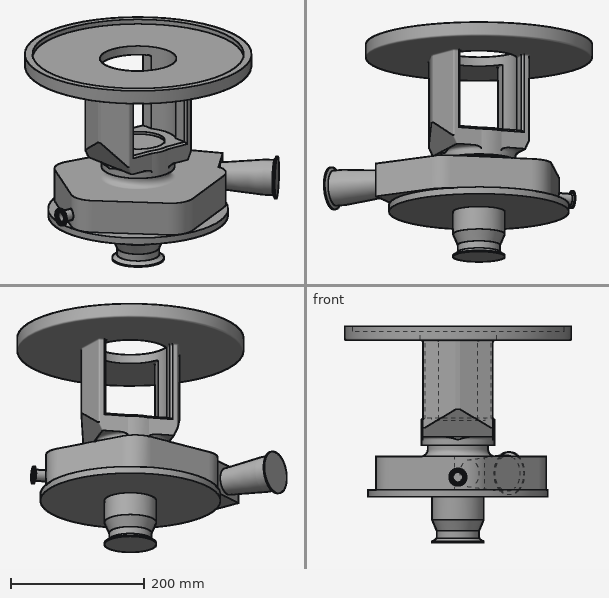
import cadquery as cq
import math

overall_height = 324.5
overall_depth = 398.5

plate_radius = 170.0
plate_thickness = 21.0
plate_rim_width = 11.5
plate_recess_depth = 7.0
plate_edge_radius = 2.8
plate_bottom = overall_height - plate_thickness

hub_radius = 55.0
lantern_half_width = 52.5
lantern_bottom = 159.5
leg_ridge_y = 75.0
leg_side_y = 60.5
leg_ridge_width = 6.8
leg_slope_top = 200.0
leg_slope_end_y = hub_radius
leg_edge_radius = 2.8
window_width = 98.8
window_floor = 187.5
opening_chamfer = 3.0
lantern_bore_radius = 57.5
hub_bottom = 146.0
hub_recess_radius = 40.2
hub_recess_depth = 4
hub_fillet_radius = 4.8
plate_joint_radius = 2.5

casing_bottom = 79.3
casing_top = 129.5
casing_apothem = 115.0
casing_corner_radius = 36
casing_side_count = 5
casing_side_step = 360 / casing_side_count
casing_first_normal = 27
casing_mid = (casing_bottom + casing_top) / 2
neck_radius = 45.5
neck_flare_radius = 10.8
flange_radius = 135.0
flange_bottom = 69.0

inlet_radius = 39.0
inlet_end_radius = 32.0
inlet_cone_top = 34.5
inlet_cone_bottom = 18.0

outlet_angle = 45
spout_tip_x = -5.5
spout_tip_y = 168.0
outlet_root_radius = 20.5
outlet_end_radius = 26.5
outlet_straight_length = 14.7
outlet_rim_radius = 32.0
outlet_overlap = 4

port_height = 98.5
port_end_y = -150.0
port_radius = 8.8
port_bore_radius = 7.5
port_rim_radius = 13.0
port_groove_inner_radius = 8.8
port_groove_outer_radius = 10.8
port_groove_depth = 1.0
port_root_y = -99.5

rim_lip = 2.0
rim_thickness = 4.8
rim_neck = 2.5
port_rim_thickness = 3.5


def revolve_profile(points):
    """Solid of revolution about Z from (radius, height) points."""
    return cq.Workplane("XZ").polyline(points).close().revolve(360, (0, 0, 0), (0, 1, 0))


def make_disc(radius, bottom, top):
    return cq.Workplane("XY").workplane(offset=bottom).circle(radius).extrude(top - bottom)


def make_flare(radius, fillet, wide_z, direction):
    """Round foot whose concave fillet narrows to the radius, upward (1) or downward (-1)."""
    narrow_z = wide_z + direction * fillet
    bend = fillet * (1 - math.sqrt(0.5))
    return (
        cq.Workplane("XZ")
        .moveTo(0, wide_z)
        .lineTo(radius + fillet, wide_z)
        .threePointArc((radius + bend, wide_z + direction * bend), (radius, narrow_z))
        .lineTo(0, narrow_z)
        .close()
        .revolve(360, (0, 0, 0), (0, 1, 0))
    )


def along(angle, distance):
    """Point at a distance from the origin in the direction of an angle in degrees."""
    return distance * math.cos(math.radians(angle)), distance * math.sin(math.radians(angle))


def make_plate():
    plate = make_disc(plate_radius, plate_bottom, overall_height)
    plate = plate.faces("<Z").edges().fillet(plate_edge_radius)
    recess_radius = plate_radius - plate_rim_width
    return plate.cut(make_disc(recess_radius, overall_height - plate_recess_depth, overall_height))


def make_legs():
    half_ridge = leg_ridge_width / 2
    outline = [
        (half_ridge, leg_ridge_y),
        (lantern_half_width, leg_side_y),
        (lantern_half_width, -leg_side_y),
        (half_ridge, -leg_ridge_y),
        (-half_ridge, -leg_ridge_y),
        (-lantern_half_width, -leg_side_y),
        (-lantern_half_width, leg_side_y),
        (-half_ridge, leg_ridge_y),
    ]
    legs = (
        cq.Workplane("XY")
        .workplane(offset=lantern_bottom)
        .polyline(outline)
        .close()
        .extrude(plate_bottom - lantern_bottom)
    )

    side_profile = [
        (leg_slope_end_y, lantern_bottom),
        (leg_ridge_y, leg_slope_top),
        (leg_ridge_y, plate_bottom),
        (-leg_ridge_y, plate_bottom),
        (-leg_ridge_y, leg_slope_top),
        (-leg_slope_end_y, lantern_bottom),
    ]
    envelope = cq.Workplane("YZ").polyline(side_profile).close().extrude(lantern_half_width, both=True)
    legs = legs.intersect(envelope)
    return legs.edges("(>X or <X) and (not #Z)").fillet(leg_edge_radius)


def make_hub():
    hub = make_disc(hub_radius, hub_bottom, window_floor)
    return hub.faces(">Z").edges().chamfer(opening_chamfer)


def make_hub_fillet():
    """Concave fillet between the hub and the underside of the legs."""
    ring = make_flare(hub_radius, hub_fillet_radius, lantern_bottom, -1)
    underside = cq.Workplane("XY").box(2 * lantern_half_width, 2 * leg_slope_end_y, 2 * lantern_bottom)
    return ring.intersect(underside)


def make_window():
    """Opening between the legs, running along X, with a bevel around both mouths."""
    height = plate_bottom - window_floor
    straight = cq.Workplane("XY").box(2 * hub_radius, window_width, 2 * height)
    window = straight.translate((0, 0, plate_bottom))
    for side in (1, -1):
        bevel = (
            cq.Workplane("YZ", origin=(side * (lantern_half_width - opening_chamfer), 0, plate_bottom))
            .rect(window_width, 2 * height)
            .workplane(offset=side * opening_chamfer)
            .rect(window_width + 2 * opening_chamfer, 2 * (height + opening_chamfer))
            .loft(ruled=True)
        )
        window = window.union(bevel)
    return window


def round_corner(casing, x, y):
    edge = cq.selectors.NearestToPointSelector((x, y, casing_mid))
    return casing.edges(edge).fillet(casing_corner_radius)


def spout_outline():
    """Tip and foot of the spout face, which lies square to the outlet axis.

    The foot is where the face meets the side of the pentagon next to the spout.
    """
    face_x, face_y = along(outlet_angle, 1)
    side_x, side_y = along(casing_first_normal + casing_side_step, 1)
    face_distance = spout_tip_x * face_x + spout_tip_y * face_y
    cross = face_x * side_y - face_y * side_x
    foot_x = (face_distance * side_y - casing_apothem * face_y) / cross
    foot_y = (casing_apothem * face_x - face_distance * side_x) / cross
    return (spout_tip_x, spout_tip_y), (foot_x, foot_y)


def make_casing(spout_tip, spout_foot):
    half_step = casing_side_step / 2
    corner_distance = casing_apothem / math.cos(math.radians(half_step))
    first_corner = casing_first_normal + half_step
    corners = [along(first_corner + casing_side_step * i, corner_distance) for i in range(casing_side_count)]
    spout_corner = corners[1]

    base = cq.Workplane("XY").workplane(offset=casing_bottom)
    casing_height = casing_top - casing_bottom
    casing = base.polyline(corners).close().extrude(casing_height)
    for corner in corners:
        if corner != spout_corner:
            casing = round_corner(casing, *corner)

    spout = base.polyline([(0, 0), spout_foot, spout_tip, spout_corner]).close().extrude(casing_height)
    return round_corner(casing.union(spout), *spout_corner)


def make_neck():
    flare = make_flare(neck_radius, neck_flare_radius, casing_top, 1)
    return flare.union(make_disc(neck_radius, casing_top, hub_bottom))


def make_flange_and_inlet():
    return revolve_profile([
        (0, 0),
        (inlet_radius, 0),
        (inlet_radius, rim_lip),
        (inlet_end_radius + rim_neck, rim_thickness),
        (inlet_end_radius, rim_thickness + rim_neck),
        (inlet_end_radius, inlet_cone_bottom),
        (inlet_radius, inlet_cone_top),
        (inlet_radius, flange_bottom),
        (flange_radius, flange_bottom),
        (flange_radius, casing_bottom),
        (0, casing_bottom),
    ])


def make_outlet(spout_tip, spout_foot):
    root_x = (spout_tip[0] + spout_foot[0]) / 2
    root_y = (spout_tip[1] + spout_foot[1]) / 2
    tilt = math.radians(outlet_angle)
    end_y = overall_depth - plate_radius
    outlet_length = (end_y - root_y - outlet_rim_radius * math.cos(tilt)) / math.sin(tilt)
    pipe = revolve_profile([
        (0, -outlet_overlap),
        (outlet_root_radius, -outlet_overlap),
        (outlet_root_radius, 0),
        (outlet_end_radius, outlet_length - outlet_straight_length - rim_thickness),
        (outlet_end_radius, outlet_length - rim_thickness),
        (outlet_rim_radius, outlet_length - rim_lip),
        (outlet_rim_radius, outlet_length),
        (0, outlet_length),
    ])
    pipe = pipe.rotate((0, 0, 0), (0, 1, 0), 90).rotate((0, 0, 0), (0, 0, 1), outlet_angle)
    return pipe.translate((root_x, root_y, casing_mid))


def make_port():
    """Hollow port with a grooved face; its bore stops at the casing wall."""
    length = -port_end_y
    port = revolve_profile([
        (port_bore_radius, -port_root_y),
        (port_radius, -port_root_y),
        (port_radius, length - port_rim_thickness),
        (port_rim_radius, length - rim_lip),
        (port_rim_radius, length),
        (port_groove_outer_radius, length),
        (port_groove_outer_radius, length - port_groove_depth),
        (port_groove_inner_radius, length - port_groove_depth),
        (port_groove_inner_radius, length),
        (port_bore_radius, length),
    ])
    return port.rotate((0, 0, 0), (1, 0, 0), 90).translate((0, 0, port_height))


def round_plate_joint(body):
    """Fillet the legs into the underside of the plate."""
    margin = 0.5
    reach = (hub_radius, leg_ridge_y + margin)
    joint = cq.selectors.BoxSelector(
        (-reach[0], -reach[1], plate_bottom - margin),
        (reach[0], reach[1], plate_bottom + margin),
    )
    return body.edges(joint).fillet(plate_joint_radius)


result = make_legs().cut(make_window()).union(make_plate())
result = round_plate_joint(result)
result = result.union(make_hub()).union(make_hub_fillet())
result = result.cut(make_disc(lantern_bore_radius, window_floor, overall_height))
result = result.cut(make_disc(hub_recess_radius, window_floor - hub_recess_depth, window_floor))

spout_tip, spout_foot = spout_outline()
result = result.union(make_neck())
result = result.union(make_casing(spout_tip, spout_foot))
result = result.union(make_flange_and_inlet())
result = result.union(make_outlet(spout_tip, spout_foot))
result = result.union(make_port())